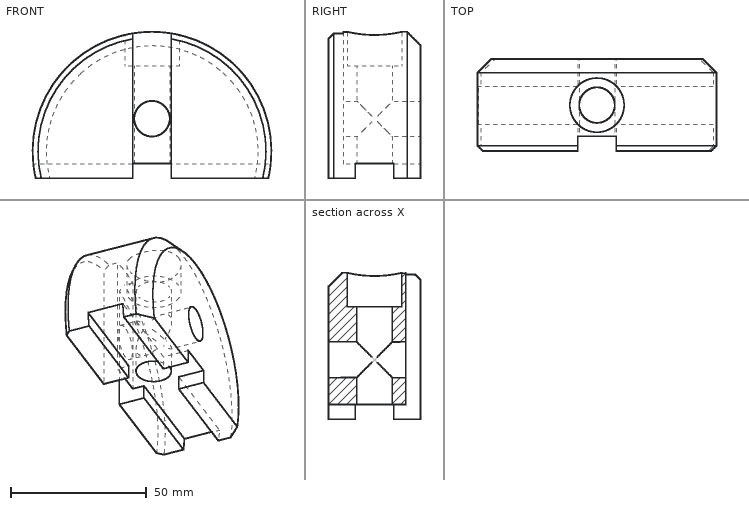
import cadquery as cq

radius = 44.0
thickness = 34.0
flat_drop = 10.0
back_chamfer = 5.0
front_chamfer = 2.0

channel_width = 14.0
channel_depth = 5.5

bore_diameter = 13.0
cross_bore_height = 12.0
counterbore_diameter = 20.0
counterbore_floor = 31.5

front_y = -thickness / 2
bottom_z = -flat_drop
diameter = 2 * radius


def block(size_x, size_y, size_z, y_min, z_min):
    """Box centred on X, placed by its lowest Y and Z."""
    return (
        cq.Workplane("XY")
        .box(size_x, size_y, size_z, centered=(True, False, False))
        .translate((0, y_min, z_min))
    )


def make_body():
    """Chamfered disc with everything below the flat removed."""
    disc = cq.Workplane("XZ").circle(radius).extrude(thickness / 2, both=True)
    disc = disc.faces("<Y").chamfer(front_chamfer)
    disc = disc.faces(">Y").chamfer(back_chamfer)
    return disc.intersect(block(diameter, thickness, diameter, front_y, bottom_z))


def cut_channels(body):
    """Vertical channel in the front face and two crossing channels below."""
    front = block(channel_width, channel_depth, diameter, front_y, bottom_z)
    along_y = block(channel_width, thickness, channel_depth, front_y, bottom_z)
    along_x = block(diameter, channel_width, channel_depth, -channel_width / 2, bottom_z)
    return body.cut(front).cut(along_y).cut(along_x)


def cut_holes(body):
    """Cross bore along Y, and a counterbored vertical bore."""
    cross_bore = (
        cq.Workplane("XZ")
        .center(0, cross_bore_height)
        .circle(bore_diameter / 2)
        .extrude(thickness, both=True)
    )
    vertical_bore = cq.Workplane("XY").circle(bore_diameter / 2).extrude(diameter, both=True)
    counterbore = (
        cq.Workplane("XY", origin=(0, 0, counterbore_floor))
        .circle(counterbore_diameter / 2)
        .extrude(diameter)
    )
    return body.cut(cross_bore).cut(vertical_bore).cut(counterbore)


result = cut_holes(cut_channels(make_body()))